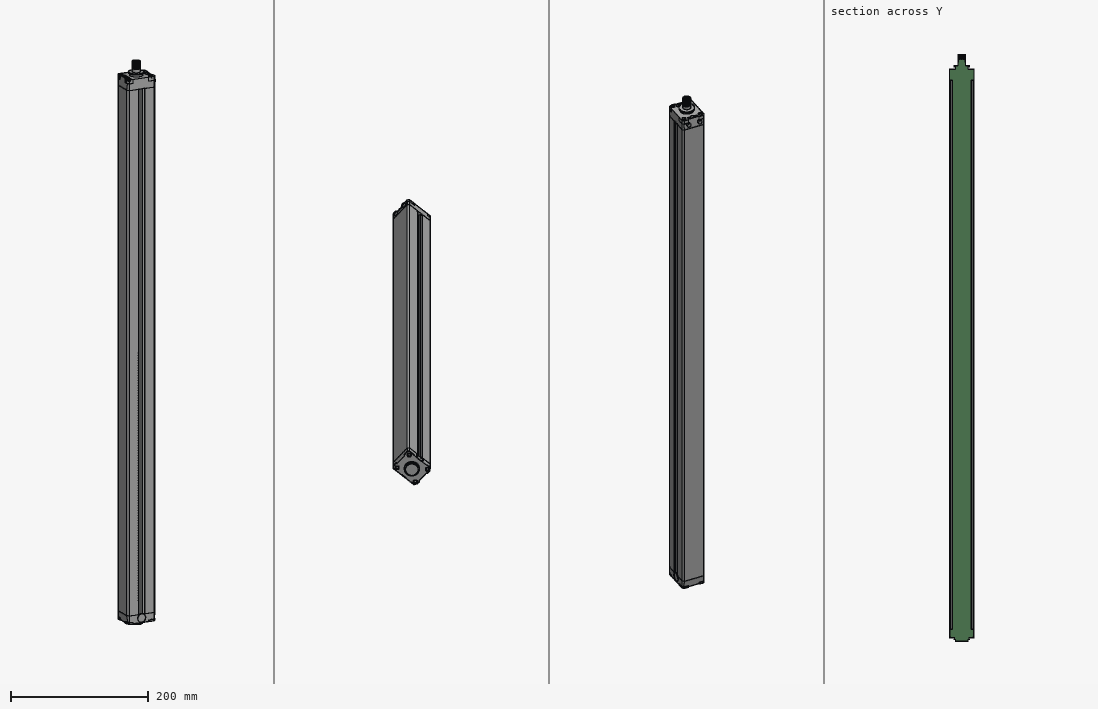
import cadquery as cq
import math

total_height = 853.0

front_face_width = 27.0
front_bevel_x = 4.4
front_bevel_y = 2.5
rear_chamfer = 2.5
depth = 45.0
width = front_face_width + 2 * front_bevel_x
half_width = width / 2
half_depth = depth / 2

lower_cap_end = 5.0
lower_joint = 18.0
upper_joint = 815.0
upper_cap_end = 831.0

cap_step = 0.1
cap_lean = 1.3

slot_mouth_width = 10.0
slot_mouth_depth = 2.0
slot_throat_width = 4.0
slot_throat_depth = 4.0

lug_width = 9.0
rear_lug_length = 12.0
front_lug_length = 8.5
upper_lug_height = 6.0
lower_lug_height = 2.5
screw_seat_diameter = 6.0
screw_head_diameter = 4.0
screw_seat_depth = 2.5

stud_diameter = 6.0
stud_spacing = 18.0
stud_length = 2.5
stud_level = 823.0

recess_depth = 1.0
rear_recess_width = 14.5
rear_recess_length = 3.0
rear_recess_y = 19.0
key_width = 4.0
key_length = 5.0
front_recess_width = 15.0
front_recess_length = 4.0
front_recess_y = -17.0
side_recess_diameter = 13.0
side_recess_level = 12.0

collar_diameter = 20.0
flange_diameter = 23.0
flange_bottom = 835.0
flange_top = 836.5
thread_diameter = 12.0
thread_bottom = 842.0
thread_groove_depth = 0.7
thread_groove_height = 1.0
thread_pitch = 2.1
socket_diameter = 8.5
socket_depth = 7.0
pin_diameter = 2.0
pin_circle_diameter = 4.0
pin_count = 4

plug_diameter = 19.0
plug_flange_diameter = 22.0
plug_flange_bottom = 2.5


def block(x_size, y_size, bottom, top, x=0.0, y=0.0):
    """Upright block centred on (x, y)."""
    solid = cq.Workplane("XY").box(x_size, y_size, top - bottom, centered=(True, True, False))
    return solid.translate((x, y, bottom))


def disc(diameter, bottom, top, x=0.0, y=0.0):
    """Upright cylinder centred on (x, y)."""
    return cq.Workplane("XY").circle(diameter / 2).extrude(top - bottom).translate((x, y, bottom))


def section(inset=0.0):
    """Closed housing outline at Z = 0, shrunk evenly by the inset."""
    x = half_width - inset
    y = half_depth - inset
    outline = [
        (-x + front_bevel_x, -y),
        (x - front_bevel_x, -y),
        (x, -y + front_bevel_y),
        (x, y - rear_chamfer),
        (x - rear_chamfer, y),
        (-x + rear_chamfer, y),
        (-x, y - rear_chamfer),
        (-x, -y + front_bevel_y),
    ]
    return cq.Workplane("XY").polyline(outline).close()


def column():
    """Extruded profile between the caps, slotted along both sides."""
    body = section().extrude(upper_joint - lower_joint).translate((0, 0, lower_joint))
    for side in (-1, 1):
        for slot_width, slot_depth in (
            (slot_mouth_width, slot_mouth_depth),
            (slot_throat_width, slot_throat_depth),
        ):
            body = body.cut(block(2 * slot_depth, slot_width, lower_joint, upper_joint, side * half_width))
    return body


def cap(height, lug_height):
    """End cap rising from Z = 0, with four screwed corner lugs at its outer end."""
    wedge_outline = [
        (-half_depth, 0),
        (half_depth, 0),
        (half_depth - cap_lean, height),
        (-half_depth + cap_lean, height),
    ]
    wedge = cq.Workplane("YZ").polyline(wedge_outline).close().extrude(half_width, both=True)
    body = section(cap_step).extrude(height).intersect(wedge)
    envelope = section().extrude(height)
    seat_bottom = height - screw_seat_depth
    for side in (-1, 1):
        x = side * (half_width - lug_width / 2)
        for end, length in ((-1, front_lug_length), (1, rear_lug_length)):
            y = end * (half_depth - length / 2)
            lug = block(lug_width, length, height - lug_height, height, x, y).intersect(envelope)
            seat = disc(screw_seat_diameter, seat_bottom, height, x, y)
            head = disc(screw_head_diameter, seat_bottom, height - recess_depth, x, y)
            body = body.union(lug).cut(seat).union(head)
    return body


def upper_cap():
    """Cap with two rear studs and shallow recesses in its top face."""
    height = upper_cap_end - upper_joint
    body = cap(height, upper_lug_height).translate((0, 0, upper_joint))
    for side in (-1, 1):
        stud = cq.Workplane("XZ").circle(stud_diameter / 2).extrude(-2 * stud_length)
        body = body.union(stud.translate((side * stud_spacing / 2, half_depth - stud_length, stud_level)))
    for x_size, y_size, y in (
        (rear_recess_width, rear_recess_length, rear_recess_y),
        (key_width, key_length, rear_recess_y + (rear_recess_length - key_length) / 2),
        (front_recess_width, front_recess_length, front_recess_y),
    ):
        body = body.cut(block(x_size, y_size, upper_cap_end - recess_depth, upper_cap_end, 0, y))
    return body


def lower_cap():
    """Inverted cap with a shallow round recess in each side."""
    body = cap(lower_joint - lower_cap_end, lower_lug_height)
    body = body.mirror("XY").translate((0, 0, lower_joint))
    recess_x = half_width - cap_step
    for side in (-1, 1):
        recess = cq.Workplane("YZ").circle(side_recess_diameter / 2).extrude(recess_depth, both=True)
        body = body.cut(recess.translate((side * recess_x, 0, side_recess_level)))
    return body


def connector():
    """Flanged collar carrying a threaded plug end with contact pins."""
    body = disc(collar_diameter, upper_cap_end, flange_bottom)
    body = body.union(disc(flange_diameter, flange_bottom, flange_top))
    body = body.union(disc(thread_diameter, flange_top, total_height))
    root_diameter = thread_diameter - 2 * thread_groove_depth
    groove_count = int((total_height - thread_bottom) / thread_pitch)
    for index in range(groove_count):
        bottom = thread_bottom + index * thread_pitch
        top = bottom + thread_groove_height
        body = body.cut(disc(thread_diameter, bottom, top).cut(disc(root_diameter, bottom, top)))
    socket_bottom = total_height - socket_depth
    body = body.cut(disc(socket_diameter, socket_bottom, total_height))
    pin_radius = pin_circle_diameter / 2
    for index in range(pin_count):
        angle = 2 * math.pi * (index + 0.5) / pin_count
        x = pin_radius * math.cos(angle)
        y = pin_radius * math.sin(angle)
        body = body.union(disc(pin_diameter, socket_bottom, total_height - recess_depth, x, y))
    return body


def bottom_plug():
    """Stepped round plug under the lower cap."""
    body = disc(plug_diameter, 0, lower_cap_end)
    return body.union(disc(plug_flange_diameter, plug_flange_bottom, lower_cap_end))


result = column().union(upper_cap()).union(lower_cap()).union(connector()).union(bottom_plug())